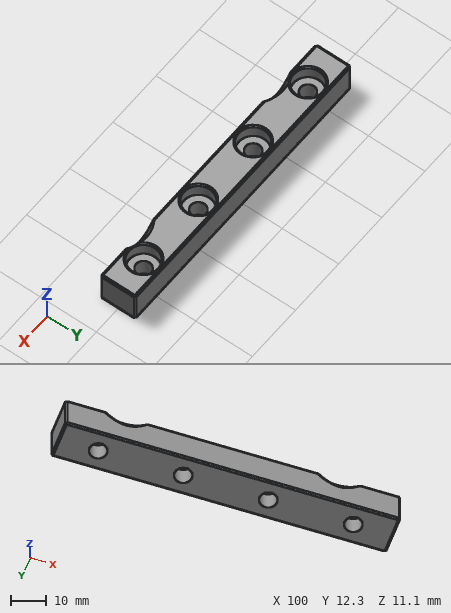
import cadquery as cq
import math

LENGTH = 100.0
WIDTH = 12.3
HEIGHT = 11.1
EDGE_CHAMFER = 0.5

HOLE_COUNT = 4
HOLE_PITCH = 25.4
HOLE_DIAMETER = 5.2
COUNTERBORE_DIAMETER = 10.2
COUNTERBORE_DEPTH = 4.8
MOUTH_CHAMFER = 0.5

RELIEF_OFFSET = 1.25 * HOLE_PITCH
RELIEF_RADIUS = 11.3
RELIEF_REACH = 2.3
RELIEF_HALF_ANGLE = 30.0


def make_bar():
    """Chamfered bar, centred in X and Y, resting on Z = 0."""
    bar = cq.Workplane("XY").box(LENGTH, WIDTH, HEIGHT, centered=(True, True, False))
    return bar.edges().chamfer(EDGE_CHAMFER)


def make_hole(x):
    """Cutter for a through hole with a chamfered counterbore from the top."""
    bore_radius = COUNTERBORE_DIAMETER / 2
    floor = HEIGHT - COUNTERBORE_DEPTH
    profile = (
        cq.Workplane("XZ")
        .polyline([
            (0, 0),
            (HOLE_DIAMETER / 2, 0),
            (HOLE_DIAMETER / 2, floor),
            (bore_radius, floor),
            (bore_radius, HEIGHT - MOUTH_CHAMFER),
            (bore_radius + MOUTH_CHAMFER, HEIGHT),
            (0, HEIGHT),
        ])
        .close()
    )
    return profile.revolve(360, (0, 0), (0, 1)).translate((x, 0, 0))


def make_relief(x):
    """Downward-pointing cone whose vertical axis stands in front of the bar."""
    cone_height = RELIEF_RADIUS / math.tan(math.radians(RELIEF_HALF_ANGLE))
    axis_y = -WIDTH / 2 + RELIEF_REACH - RELIEF_RADIUS
    profile = (
        cq.Workplane("XZ")
        .polyline([(0, HEIGHT), (RELIEF_RADIUS, HEIGHT), (0, HEIGHT - cone_height)])
        .close()
    )
    return profile.revolve(360, (0, 0), (0, 1)).translate((x, axis_y, 0))


result = make_bar()

for index in range(HOLE_COUNT):
    hole_x = (index - (HOLE_COUNT - 1) / 2) * HOLE_PITCH
    result = result.cut(make_hole(hole_x))

for side in (-1, 1):
    result = result.cut(make_relief(side * RELIEF_OFFSET))